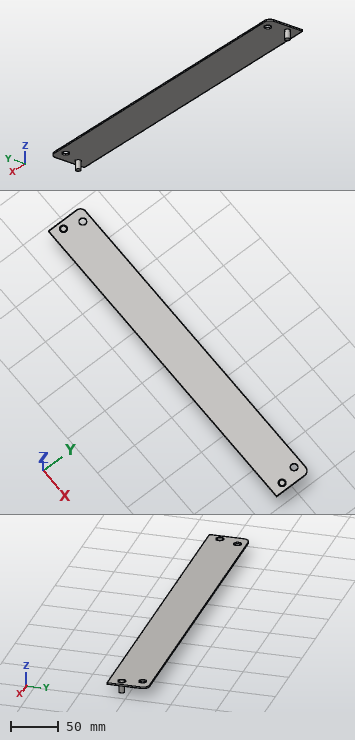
import cadquery as cq

plate_length = 384.0
plate_width = 44.5
plate_thickness = 2.0
corner_radius = 7.0

mount_hole_diameter = 8.0
mount_hole_end_inset = 14.2
mount_hole_back_inset = 9.5

overall_height = 12.5
pin_end_inset = 8.0
pin_back_inset = 30.7
shank_diameter = 6.0
shank_hole_diameter = 6.5
head_diameter = 8.5
head_height = 0.2

head_top = plate_thickness + head_height
pin_bottom = head_top - overall_height
back_edge = plate_width / 2


def mirrored_places(end_inset, back_inset):
    """Return the two places with the given insets from the ends and the back edge."""
    x = plate_length / 2 - end_inset
    y = back_edge - back_inset
    return [(-x, y), (x, y)]


def cylinder(diameter, bottom, top, places):
    """Return upright cylinders between two heights at the given places."""
    return (
        cq.Workplane("XY", origin=(0, 0, bottom))
        .pushPoints(places)
        .circle(diameter / 2)
        .extrude(top - bottom)
    )


mount_places = mirrored_places(mount_hole_end_inset, mount_hole_back_inset)
pin_places = mirrored_places(pin_end_inset, pin_back_inset)


def make_plate():
    """Thin strip with two rounded back corners, mounting holes and pin holes."""
    plate = cq.Workplane("XY").box(plate_length, plate_width, plate_thickness, centered=(True, True, False))
    plate = plate.edges("|Z and >Y").fillet(corner_radius)
    plate = plate.cut(cylinder(mount_hole_diameter, 0, plate_thickness, mount_places))
    return plate.cut(cylinder(shank_hole_diameter, 0, plate_thickness, pin_places))


def make_pin(place):
    """Shank hanging below the plate, with a wider, thin head resting on the plate's top."""
    shank = cylinder(shank_diameter, pin_bottom, plate_thickness, [place])
    head = cylinder(head_diameter, plate_thickness, head_top, [place])
    return shank.union(head)


plate = make_plate()
pins = [make_pin(place) for place in pin_places]

result = cq.Compound.makeCompound([plate.val().Solids()[0], *[pin.val() for pin in pins]])